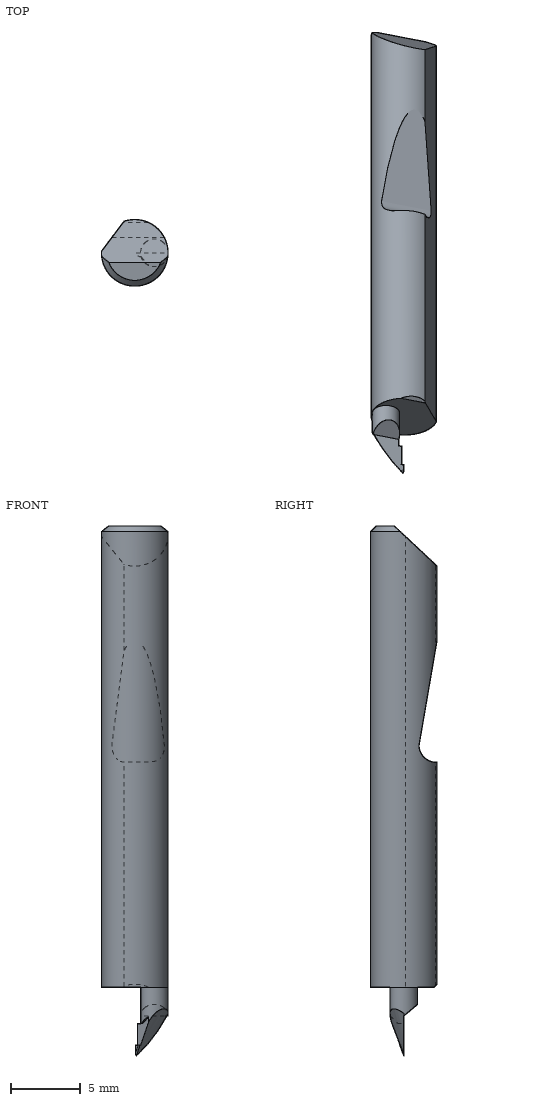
import cadquery as cq
import math

LENGTH = 37.88
SHANK_RADIUS = 2.4
SHANK_BOTTOM = 4.9
TOP_CHAMFER = 0.4
CLEAR = 7.58

FLAT_ANGLE = 143.0
FLAT_OFFSET = 1.97

SLANT_TOP_Y = -0.7
SLANT_DROP = 2.88

NOTCH_TOP = 29.7
NOTCH_FLOOR_Y = 1.1
NOTCH_RADIUS = 1.2
NOTCH_BOTTOM = 21.0
BACK_CHAMFER = 0.23

NECK_RADIUS = 1.0
NECK_X = SHANK_RADIUS - NECK_RADIUS
RAKE_TOP = 3.67
RAKE_RUNOUT = 0.85

BLADE_TOP = 2.3
BLADE_LEFT = 0.2
NIB_LEFT = 0.05
NIB_TOP = 0.75
NIB_BOTTOM = 0.15
TIP_X = 0.1
EDGE_MID = (1.63, 1.75)
EDGE_END_Z = 3.03
SIDE_CLEARANCE = 0.9
FLANK_RISE = 1.6
SIDE_RUNOUT_Y = -0.4


def along_x(profile):
    """Extrude a YZ profile through the whole part."""
    return profile.close().extrude(CLEAR, both=True)


def make_shank():
    shank = (
        cq.Workplane("XY").workplane(offset=SHANK_BOTTOM)
        .circle(SHANK_RADIUS).extrude(LENGTH - SHANK_BOTTOM)
        .faces(">Z").chamfer(TOP_CHAMFER)
    )
    flat = (
        cq.Workplane("XY").box(CLEAR, CLEAR, LENGTH, centered=(False, True, False))
        .translate((FLAT_OFFSET, 0, 0))
        .rotate((0, 0, 0), (0, 0, 1), FLAT_ANGLE)
    )
    slant_slope = SLANT_DROP / (SHANK_RADIUS - SLANT_TOP_Y)
    slant = along_x(
        cq.Workplane("YZ").moveTo(SLANT_TOP_Y, LENGTH)
        .lineTo(SLANT_TOP_Y + CLEAR, LENGTH - slant_slope * CLEAR)
        .lineTo(SLANT_TOP_Y + CLEAR, LENGTH)
    )
    arc_y = NOTCH_FLOOR_Y + NOTCH_RADIUS
    arc_z = NOTCH_BOTTOM + NOTCH_RADIUS
    arc_reach = NOTCH_RADIUS * math.sqrt(0.5)
    notch = along_x(
        cq.Workplane("YZ").moveTo(SHANK_RADIUS, NOTCH_TOP)
        .lineTo(NOTCH_FLOOR_Y, arc_z)
        .threePointArc((arc_y - arc_reach, arc_z - arc_reach), (arc_y, NOTCH_BOTTOM))
        .lineTo(CLEAR, NOTCH_BOTTOM).lineTo(CLEAR, NOTCH_TOP)
    )
    back_chamfer = along_x(
        cq.Workplane("YZ").moveTo(SHANK_RADIUS, SHANK_BOTTOM)
        .lineTo(SHANK_RADIUS - BACK_CHAMFER, SHANK_BOTTOM)
        .lineTo(SHANK_RADIUS, SHANK_BOTTOM + BACK_CHAMFER)
    )
    return shank.cut(flat).cut(slant).cut(notch).cut(back_chamfer)


def side_grind(left, bottom, top):
    """Material beyond a slanted side face that meets the rake face at X = left."""
    return (
        cq.Workplane("XY").workplane(offset=bottom)
        .moveTo(left, 0).lineTo(left + SIDE_CLEARANCE * CLEAR, -CLEAR)
        .lineTo(-CLEAR, -CLEAR).lineTo(-CLEAR, 0).close().extrude(top - bottom)
    )


def flank_grind():
    """Material below the curved edge, swept obliquely up towards -Y."""
    edge = (
        cq.Workplane("XZ").moveTo(-CLEAR, -CLEAR).lineTo(NIB_LEFT, NIB_BOTTOM)
        .lineTo(TIP_X, 0)
        .threePointArc(EDGE_MID, (SHANK_RADIUS, EDGE_END_Z))
        .lineTo(CLEAR, CLEAR).lineTo(CLEAR, -CLEAR).close()
    )
    edge_slope = EDGE_MID[1] / (EDGE_MID[0] - TIP_X)
    reach = NECK_RADIUS + 0.38
    shift_x = SIDE_CLEARANCE * reach
    shift_z = FLANK_RISE * reach + edge_slope * shift_x
    shift = cq.Vector(shift_x, -reach, shift_z)
    return cq.Solid.extrudeLinear(edge.wires().val(), [], shift)


def make_head():
    neck = cq.Workplane("XY").center(NECK_X, 0).circle(NECK_RADIUS).extrude(SHANK_BOTTOM)
    blade = cq.Workplane("XY").box(NECK_X, NECK_RADIUS, BLADE_TOP, centered=False)
    blade = blade.translate((0, -NECK_RADIUS, 0))
    rake = along_x(
        cq.Workplane("YZ").moveTo(0, -0.38).lineTo(0, RAKE_TOP - RAKE_RUNOUT)
        .lineTo(NECK_RADIUS, RAKE_TOP).lineTo(CLEAR, RAKE_TOP).lineTo(CLEAR, -0.38)
    )
    runout = along_x(
        cq.Workplane("YZ").moveTo(0, 0).lineTo(0, BLADE_TOP)
        .lineTo(SIDE_RUNOUT_Y, BLADE_TOP)
        .lineTo(SIDE_RUNOUT_Y - CLEAR, BLADE_TOP + CLEAR).lineTo(SIDE_RUNOUT_Y - CLEAR, 0)
    )
    upper_side = side_grind(BLADE_LEFT, NIB_TOP, SHANK_BOTTOM).intersect(runout)
    nib_side = side_grind(NIB_LEFT, 0, NIB_TOP)
    return neck.union(blade).cut(rake).cut(upper_side).cut(nib_side).cut(flank_grind())


result = make_shank().union(make_head())